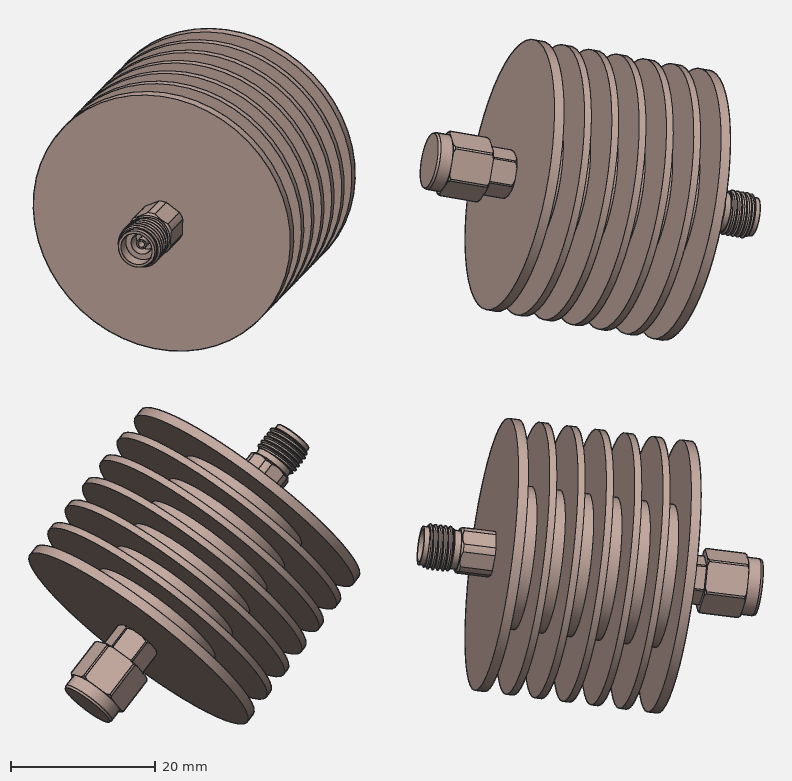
import cadquery as cq
import math


PLATE_DIAMETER = 38.0
PLATE_THICKNESS = 1.4
FIN_THICKNESS = 1.0
FIN_GAP = 3.0
FIN_COUNT = 5
HUB_DIAMETER = 20.0
FIN_PITCH = FIN_THICKNESS + FIN_GAP
SINK_LENGTH = 2 * PLATE_THICKNESS + FIN_GAP + FIN_COUNT * FIN_PITCH

HEX_SIDES = 6
HEX_HALF_STEP = 180 / HEX_SIDES
SMALL_HEX_TURN = 2.2
SMALL_HEX_CHAMFER = 0.3

SOCKET_HEX_FLATS = 6.16
SOCKET_HEX_CORNERS = 6.57
SOCKET_HEX_LENGTH = 4.8
SOCKET_LENGTH = 10.0
SLEEVE_DIAMETER = 5.4
BORE_DIAMETER = 4.6
BORE_DEPTH = 1.9
INSULATOR_DIAMETER = 3.0
INSULATOR_DEPTH = 2.0
CONTACT_DIAMETER = 1.4
CONTACT_HOLE_DIAMETER = 0.94
CONTACT_HOLE_DEPTH = 2.0

THREAD_CORE_DIAMETER = 5.72
THREAD_DIAMETER = 6.3
THREAD_PITCH = 0.706
THREAD_TURNS = 6
THREAD_CREST_WIDTH = 0.08
THREAD_FLANK_ANGLE = 60.0
THREAD_OVERLAP = 0.05
THREAD_START = 5.72
THREAD_LENGTH = 3.56
THREAD_END_CHAMFER = 0.25

PLUG_HEX_FLATS = 6.02
PLUG_HEX_CORNERS = 6.82
PLUG_HEX_LENGTH = 3.85
NUT_FLATS = 8.0
NUT_CORNERS = 9.06
NUT_LENGTH = 5.85
NUT_CHAMFER = 0.22
COLLAR_DIAMETER = 8.0
COLLAR_LENGTH = 2.1
COLLAR_CHAMFER_LENGTH = 0.35
COLLAR_CHAMFER_DEPTH = 0.15


def cylinder(diameter, y_start, length):
    """Solid cylinder about the Y axis, from y_start towards +Y."""
    axis_start = cq.Vector(0, y_start, 0)
    return cq.Workplane(cq.Solid.makeCylinder(diameter / 2, length, axis_start, cq.Vector(0, 1, 0)))


def hexagon(flats, corners, y_start, length, turn, chamfer, chamfered_ends):
    """Hex bar with its corners rounded by a cylinder with chamfered ends.

    Two flats face +/-Z before the bar is turned about Y.
    """
    prism = (
        cq.Workplane("XZ", origin=(0, y_start, 0))
        .polygon(HEX_SIDES, flats / math.cos(math.radians(HEX_HALF_STEP)))
        .extrude(-length)
        .rotate((0, 0, 0), (0, 1, 0), turn)
    )
    envelope = cylinder(corners, y_start, length).faces(chamfered_ends).chamfer(chamfer)
    return prism.intersect(envelope)


def heat_sink():
    body = cylinder(HUB_DIAMETER, 0, SINK_LENGTH)
    body = body.union(cylinder(PLATE_DIAMETER, 0, PLATE_THICKNESS))
    body = body.union(cylinder(PLATE_DIAMETER, SINK_LENGTH - PLATE_THICKNESS, PLATE_THICKNESS))
    for i in range(FIN_COUNT):
        fin_start = PLATE_THICKNESS + FIN_GAP + i * FIN_PITCH
        body = body.union(cylinder(PLATE_DIAMETER, fin_start, FIN_THICKNESS))
    return body


def thread():
    """Threaded band of the socket: a core with a right-handed helical ridge and chamfered ends."""
    core_radius = THREAD_CORE_DIAMETER / 2
    crest_radius = THREAD_DIAMETER / 2
    base_radius = core_radius - THREAD_OVERLAP
    crest_half = THREAD_CREST_WIDTH / 2
    flank_slope = math.tan(math.radians(THREAD_FLANK_ANGLE / 2))
    base_half = crest_half + (crest_radius - base_radius) * flank_slope
    helix_length = THREAD_TURNS * THREAD_PITCH
    helix_start = THREAD_START + (THREAD_LENGTH - helix_length) / 2

    helix = cq.Wire.makeHelix(THREAD_PITCH, helix_length, base_radius)
    ridge = (
        cq.Workplane("XZ")
        .moveTo(base_radius, -base_half)
        .lineTo(crest_radius, -crest_half)
        .lineTo(crest_radius, crest_half)
        .lineTo(base_radius, base_half)
        .close()
        .sweep(cq.Workplane(helix), isFrenet=True)
        .rotate((0, 0, 0), (1, 0, 0), 90)
        .translate((0, -helix_start, 0))
    )
    thread_end = -THREAD_START - THREAD_LENGTH
    core = cylinder(THREAD_CORE_DIAMETER, thread_end, THREAD_LENGTH)
    envelope = cylinder(THREAD_DIAMETER, thread_end, THREAD_LENGTH)
    envelope = envelope.faces("<Y or >Y").chamfer(THREAD_END_CHAMFER)
    return core.union(ridge).intersect(envelope)


def socket():
    end = -SOCKET_LENGTH
    hex_end = -SOCKET_HEX_LENGTH
    floor = end + BORE_DEPTH
    body = cylinder(SLEEVE_DIAMETER, end, SOCKET_LENGTH)
    body = body.union(thread())
    turn = HEX_HALF_STEP + SMALL_HEX_TURN
    hex_bar = hexagon(
        SOCKET_HEX_FLATS, SOCKET_HEX_CORNERS, hex_end, SOCKET_HEX_LENGTH, turn, SMALL_HEX_CHAMFER, "<Y"
    )
    body = body.union(hex_bar)
    body = body.cut(cylinder(BORE_DIAMETER, end, BORE_DEPTH))
    body = body.cut(cylinder(INSULATOR_DIAMETER, floor, INSULATOR_DEPTH))
    body = body.union(cylinder(CONTACT_DIAMETER, floor, INSULATOR_DEPTH))
    return body.cut(cylinder(CONTACT_HOLE_DIAMETER, floor, CONTACT_HOLE_DEPTH))


def collar(y_start):
    """Round end of the nut, with a shallow conical lead on its +Y rim."""
    radius = COLLAR_DIAMETER / 2
    straight_length = COLLAR_LENGTH - COLLAR_CHAMFER_LENGTH
    profile = (
        cq.Workplane("XY", origin=(0, y_start, 0))
        .lineTo(radius, 0)
        .lineTo(radius, straight_length)
        .lineTo(radius - COLLAR_CHAMFER_DEPTH, COLLAR_LENGTH)
        .lineTo(0, COLLAR_LENGTH)
        .close()
    )
    return profile.revolve(360, (0, 0, 0), (0, 1, 0))


def plug():
    nut_start = SINK_LENGTH + PLUG_HEX_LENGTH
    turn = SMALL_HEX_TURN
    hex_bar = hexagon(
        PLUG_HEX_FLATS, PLUG_HEX_CORNERS, SINK_LENGTH, PLUG_HEX_LENGTH, turn, SMALL_HEX_CHAMFER, "<Y"
    )
    nut = hexagon(NUT_FLATS, NUT_CORNERS, nut_start, NUT_LENGTH, 0, NUT_CHAMFER, "<Y or >Y")
    body = hex_bar.union(nut)
    return body.union(collar(nut_start + NUT_LENGTH))


result = heat_sink().union(socket()).union(plug())